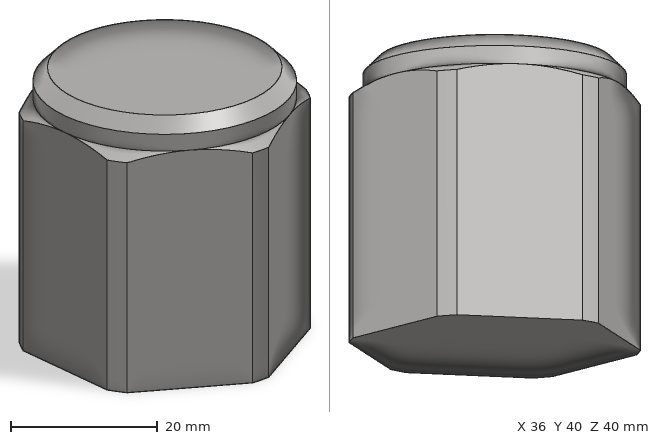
import cadquery as cq
import math

total_height = 40.0
across_flats = 36.0
corner_diameter = 40.0
hex_height = 35.5
corner_bevel_angle = 30.0
top_chamfer = 2.0

hex_sides = 6
across_corners = across_flats / math.cos(math.pi / hex_sides)
collar_radius = across_flats / 2
corner_radius = corner_diameter / 2
bevel_drop = (corner_radius - collar_radius) * math.tan(math.radians(corner_bevel_angle))


def hexagonal_bar():
    """Full-height hexagonal prism with flats facing +X and -X."""
    return (
        cq.Workplane("XY")
        .transformed(rotate=(0, 0, 90))
        .polygon(hex_sides, across_corners)
        .extrude(total_height)
    )


def turned_envelope():
    """Revolved body: rounded corners, corner bevel, collar and top chamfer."""
    profile = [
        (0, 0),
        (corner_radius, 0),
        (corner_radius, hex_height - bevel_drop),
        (collar_radius, hex_height),
        (collar_radius, total_height - top_chamfer),
        (collar_radius - top_chamfer, total_height),
        (0, total_height),
    ]
    return cq.Workplane("XZ").polyline(profile).close().revolve(360, (0, 0, 0), (0, 1, 0))


result = turned_envelope().intersect(hexagonal_bar())